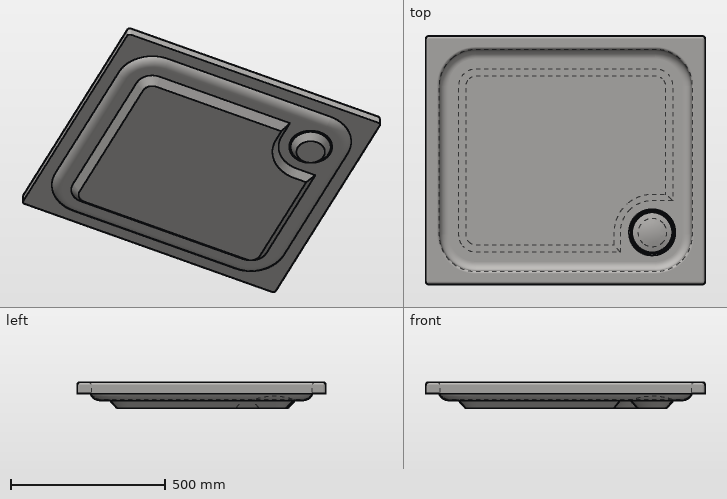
import cadquery as cq

LENGTH = 905.5
WIDTH = 806.0
HEIGHT = 85.0
RIM_HEIGHT = 37.0
EDGE_RADIUS = 10.0

RIM_LEDGE = 35.0
MOUTH_RADIUS = 9.0
MOUTH_CORNER_RADIUS = 127.0
FLOOR_Z = 30.0
WALL_DRAFT = 3.0
FLOOR_FILLET = 28.0
SHELL_THICKNESS = 4.5
SHELL_FILLET = 34.0

BASE_INSET = 106.0
BASE_TAPER = 23.5

DRAIN_X = 281.0
DRAIN_Y = -234.0
CUP_TOP_RADIUS = 70.0
CUP_BOTTOM_RADIUS = 46.0
CLEARANCE_RADIUS = 104.0
CLEARANCE_TAPER = 20.0
RECESS_TOP_RADIUS = 75.0
RECESS_BOTTOM_RADIUS = 67.0
RECESS_DEPTH = 5.0

COVER_DIAMETER = 129.5
COVER_RISE = 11.0

rim_bottom_z = HEIGHT - RIM_HEIGHT
shell_bottom_z = FLOOR_Z - SHELL_THICKNESS
recess_z = FLOOR_Z - RECESS_DEPTH
cover_radius = COVER_DIAMETER / 2
wall_inset = RIM_LEDGE + MOUTH_RADIUS
shell_inset = wall_inset - SHELL_THICKNESS
corner_centre_inset = RIM_LEDGE + MOUTH_CORNER_RADIUS


def rounded_rectangle(length, width, radius, x, y, z):
    """Horizontal rectangle with rounded corners, centred at the given point."""
    outline = cq.Sketch().rect(length, width).vertices().fillet(radius)
    return outline.moved(cq.Location(cq.Vector(x, y, z)))


def inset_outline(inset, z):
    """Rounded rectangle inset from the tray edge; all insets share the same corner centres."""
    radius = corner_centre_inset - inset
    return rounded_rectangle(LENGTH - 2 * inset, WIDTH - 2 * inset, radius, 0, 0, z)


def clearance_outline(growth, z):
    """Rounded square whose -X, +Y corner arc is centred on the drain; the rest runs out past the base."""
    side = 4 * CLEARANCE_RADIUS + 2 * growth
    centre_x = DRAIN_X + CLEARANCE_RADIUS
    centre_y = DRAIN_Y - CLEARANCE_RADIUS
    return rounded_rectangle(side, side, CLEARANCE_RADIUS + growth, centre_x, centre_y, z)


def tapered_block(bottom_outline, top_outline):
    """Solid with straight sloping walls between two horizontal outlines."""
    return cq.Workplane().placeSketch(bottom_outline, top_outline).loft()


def drafted_block(inset, bottom_z, top_z, bottom_fillet):
    """Block that narrows downward by the wall draft, with its bottom edge rounded."""
    block = tapered_block(inset_outline(inset + WALL_DRAFT, bottom_z), inset_outline(inset, top_z))
    return block.faces("<Z").edges().fillet(bottom_fillet)


def drain_cone(bottom_radius, bottom_z, top_radius, top_z):
    """Upright cone frustum on the drain axis."""
    profile = [(0, bottom_z), (bottom_radius, bottom_z), (top_radius, top_z), (0, top_z)]
    cone = cq.Workplane("XZ").polyline(profile).close().revolve(360, (0, 0), (0, 1))
    return cone.translate((DRAIN_X, DRAIN_Y, 0))


def make_rim():
    """Flat slab with rounded upright corners and a rounded top edge."""
    slab = cq.Workplane().box(LENGTH, WIDTH, RIM_HEIGHT, centered=(True, True, False))
    slab = slab.translate((0, 0, rim_bottom_z))
    return slab.edges("|Z").fillet(EDGE_RADIUS).faces(">Z").edges().fillet(EDGE_RADIUS)


def make_base():
    """Tapered base under the shell, cut away around the drain cup."""
    base = tapered_block(inset_outline(BASE_INSET + BASE_TAPER, 0), inset_outline(BASE_INSET, shell_bottom_z))
    clearance = tapered_block(clearance_outline(CLEARANCE_TAPER, 0), clearance_outline(0, shell_bottom_z))
    return base.cut(clearance)


def make_tray():
    """Rim, basin shell, base and drain cup joined, with the basin and the cover recess cut in."""
    shell = drafted_block(shell_inset, shell_bottom_z, HEIGHT - EDGE_RADIUS, SHELL_FILLET)
    cavity = drafted_block(wall_inset, FLOOR_Z, HEIGHT, FLOOR_FILLET)
    cup = drain_cone(CUP_BOTTOM_RADIUS, 0, CUP_TOP_RADIUS, shell_bottom_z)
    recess = drain_cone(RECESS_BOTTOM_RADIUS, recess_z, RECESS_TOP_RADIUS, FLOOR_Z)

    tray = make_rim().union(shell).cut(cavity)
    mouth_x = LENGTH / 2 - RIM_LEDGE
    mouth_y = WIDTH / 2 - RIM_LEDGE
    mouth_zone = cq.selectors.BoxSelector(
        (-mouth_x, -mouth_y, HEIGHT - MOUTH_RADIUS),
        (mouth_x, mouth_y, HEIGHT + MOUTH_RADIUS),
    )
    tray = tray.edges(mouth_zone).fillet(MOUTH_RADIUS)
    return tray.union(make_base()).union(cup).cut(recess)


def make_cover():
    """Disc standing on the recess bottom, flush with the floor at its edge and domed on top."""
    half_chord = cover_radius / 2
    sphere_radius = (cover_radius**2 + COVER_RISE**2) / (2 * COVER_RISE)
    apex_z = FLOOR_Z + COVER_RISE
    mid_z = apex_z - sphere_radius + (sphere_radius**2 - half_chord**2) ** 0.5
    cover = (
        cq.Workplane("XZ")
        .moveTo(0, recess_z)
        .lineTo(cover_radius, recess_z)
        .lineTo(cover_radius, FLOOR_Z)
        .threePointArc((half_chord, mid_z), (0, apex_z))
        .close()
        .revolve(360, (0, 0), (0, 1))
    )
    return cover.translate((DRAIN_X, DRAIN_Y, 0))


tray = make_tray()
cover = make_cover()
result = cq.Compound.makeCompound([tray.val(), cover.val()])